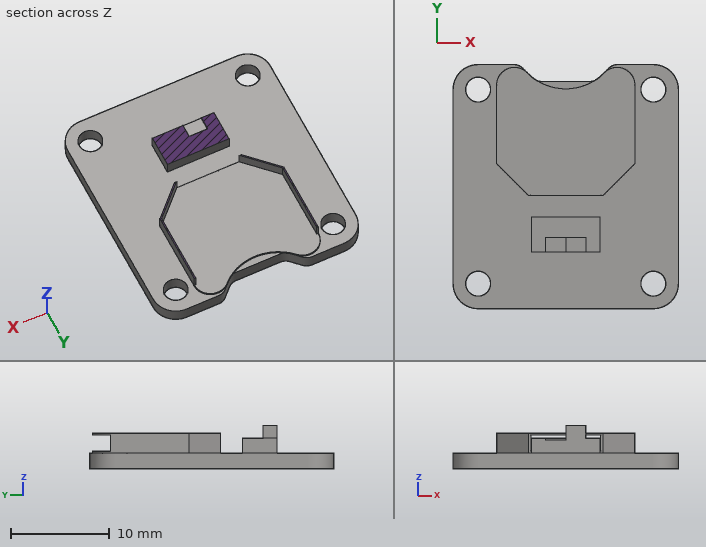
import cadquery as cq
import math

BOARD_WIDTH = 22.86
BOARD_LENGTH = 24.77
BOARD_THICKNESS = 1.6
CORNER_RADIUS = 2.55
HOLE_DIAMETER = 2.5

NOTCH_HALF_WIDTH = 4.73
NOTCH_DEPTH = 1.7
NOTCH_MARGIN = 0.25
NOTCH_FILLET = CORNER_RADIUS / 2

HOLDER_HALF_WIDTH = 7.0
HOLDER_HEIGHT = 2.0
HOLDER_WALL = 0.2
HOLDER_FRONT_Y = -0.9
HOLDER_CHAMFER = 3.22
SIDE_WALL_END_Y = 10.28
EAR_RADIUS = 1.8
SCOOP_BOTTOM_Y = 9.9

SWITCH_WIDTH = 6.99
SWITCH_LENGTH = 3.52
SWITCH_HEIGHT = 1.5
SWITCH_FRONT_Y = -6.61
SLOT_WIDTH = 4.09
SLOT_LENGTH = 1.44
SLOT_DEPTH = 0.2
KNOB_WIDTH = SLOT_WIDTH / 2
KNOB_TOP_Z = 4.4


def make_board():
    """Rounded plate with a hole concentric with each corner and a rear notch."""
    blank = (
        cq.Workplane("XY")
        .box(BOARD_WIDTH, BOARD_LENGTH, BOARD_THICKNESS, centered=(True, True, False))
        .edges("|Z")
        .fillet(CORNER_RADIUS)
    )
    rear_y = BOARD_LENGTH / 2
    floor_half_width = NOTCH_HALF_WIDTH - NOTCH_DEPTH
    notch = (
        cq.Workplane("XY")
        .polyline([
            (-NOTCH_HALF_WIDTH, rear_y),
            (-floor_half_width, rear_y - NOTCH_DEPTH),
            (floor_half_width, rear_y - NOTCH_DEPTH),
            (NOTCH_HALF_WIDTH, rear_y),
        ])
        .close()
        .extrude(BOARD_THICKNESS)
    )
    notch_edges = cq.selectors.BoxSelector(
        (-NOTCH_HALF_WIDTH - NOTCH_MARGIN, rear_y - NOTCH_DEPTH - NOTCH_MARGIN, 0),
        (NOTCH_HALF_WIDTH + NOTCH_MARGIN, rear_y + NOTCH_MARGIN, BOARD_THICKNESS),
    )
    notched = blank.cut(notch).edges("|Z").edges(notch_edges).fillet(NOTCH_FILLET)

    hole_spacing_x = BOARD_WIDTH - 2 * CORNER_RADIUS
    hole_spacing_y = BOARD_LENGTH - 2 * CORNER_RADIUS
    holes = (
        cq.Workplane("XY")
        .rect(hole_spacing_x, hole_spacing_y, forConstruction=True)
        .vertices()
        .circle(HOLE_DIAMETER / 2)
        .extrude(BOARD_THICKNESS)
    )
    return notched.cut(holes)


def holder_plate(bottom_z):
    """Thin plate with two rounded ears joined by a tangent scoop."""
    ear_x = HOLDER_HALF_WIDTH - EAR_RADIUS
    ear_y = SIDE_WALL_END_Y
    ear_rise = ear_y - SCOOP_BOTTOM_Y
    scoop_radius = (ear_x**2 + ear_rise**2 - EAR_RADIUS**2) / (2 * (EAR_RADIUS + ear_rise))
    scoop_center_y = SCOOP_BOTTOM_Y + scoop_radius
    tangent_angle = math.atan2(scoop_center_y - ear_y, ear_x)
    tangent_x = ear_x - EAR_RADIUS * math.cos(tangent_angle)
    tangent_y = ear_y + EAR_RADIUS * math.sin(tangent_angle)
    ear_top = (ear_x, ear_y + EAR_RADIUS)
    front_half_width = HOLDER_HALF_WIDTH - HOLDER_CHAMFER
    chamfer_end_y = HOLDER_FRONT_Y + HOLDER_CHAMFER
    return (
        cq.Workplane("XY", origin=(0, 0, bottom_z))
        .moveTo(-front_half_width, HOLDER_FRONT_Y)
        .lineTo(front_half_width, HOLDER_FRONT_Y)
        .lineTo(HOLDER_HALF_WIDTH, chamfer_end_y)
        .lineTo(HOLDER_HALF_WIDTH, ear_y)
        .threePointArc(ear_top, (tangent_x, tangent_y))
        .threePointArc((0, SCOOP_BOTTOM_Y), (-tangent_x, tangent_y))
        .threePointArc((-ear_top[0], ear_top[1]), (-HOLDER_HALF_WIDTH, ear_y))
        .lineTo(-HOLDER_HALF_WIDTH, chamfer_end_y)
        .close()
        .extrude(HOLDER_WALL)
    )


def holder_side_walls():
    """Pair of thin walls that follow the sides and the front chamfers."""
    front_half_width = HOLDER_HALF_WIDTH - HOLDER_CHAMFER
    chamfer_end_y = HOLDER_FRONT_Y + HOLDER_CHAMFER
    inner_half_width = HOLDER_HALF_WIDTH - HOLDER_WALL
    inner_front_half_width = front_half_width - HOLDER_WALL * math.sqrt(2)
    inner_chamfer_end_y = HOLDER_FRONT_Y + inner_half_width - inner_front_half_width
    right_wall = (
        cq.Workplane("XY", origin=(0, 0, BOARD_THICKNESS))
        .polyline([
            (front_half_width, HOLDER_FRONT_Y),
            (HOLDER_HALF_WIDTH, chamfer_end_y),
            (HOLDER_HALF_WIDTH, SIDE_WALL_END_Y),
            (inner_half_width, SIDE_WALL_END_Y),
            (inner_half_width, inner_chamfer_end_y),
            (inner_front_half_width, HOLDER_FRONT_Y),
        ])
        .close()
        .extrude(HOLDER_HEIGHT)
    )
    return right_wall.union(right_wall.mirror("YZ"))


def make_holder():
    """Floor and roof plates joined by the side walls."""
    floor = holder_plate(BOARD_THICKNESS)
    roof = holder_plate(BOARD_THICKNESS + HOLDER_HEIGHT - HOLDER_WALL)
    return holder_side_walls().union(floor).union(roof)


def make_switch():
    """Switch block with a shallow front slot and a knob at the slot's +X end."""
    top_z = BOARD_THICKNESS + SWITCH_HEIGHT
    slot_floor_z = top_z - SLOT_DEPTH
    block = (
        cq.Workplane("XY", origin=(0, SWITCH_FRONT_Y, BOARD_THICKNESS))
        .box(SWITCH_WIDTH, SWITCH_LENGTH, SWITCH_HEIGHT, centered=(True, False, False))
    )
    slot = (
        cq.Workplane("XY", origin=(0, SWITCH_FRONT_Y, slot_floor_z))
        .box(SLOT_WIDTH, SLOT_LENGTH, SLOT_DEPTH, centered=(True, False, False))
    )
    knob = (
        cq.Workplane("XY", origin=(0, SWITCH_FRONT_Y, slot_floor_z))
        .box(KNOB_WIDTH, SLOT_LENGTH, KNOB_TOP_Z - slot_floor_z, centered=False)
    )
    return block.cut(slot).union(knob)


board = make_board()
holder = make_holder()
switch = make_switch()

bodies = [body.solids().val() for body in (board, holder, switch)]
result = cq.Compound.makeCompound(bodies)